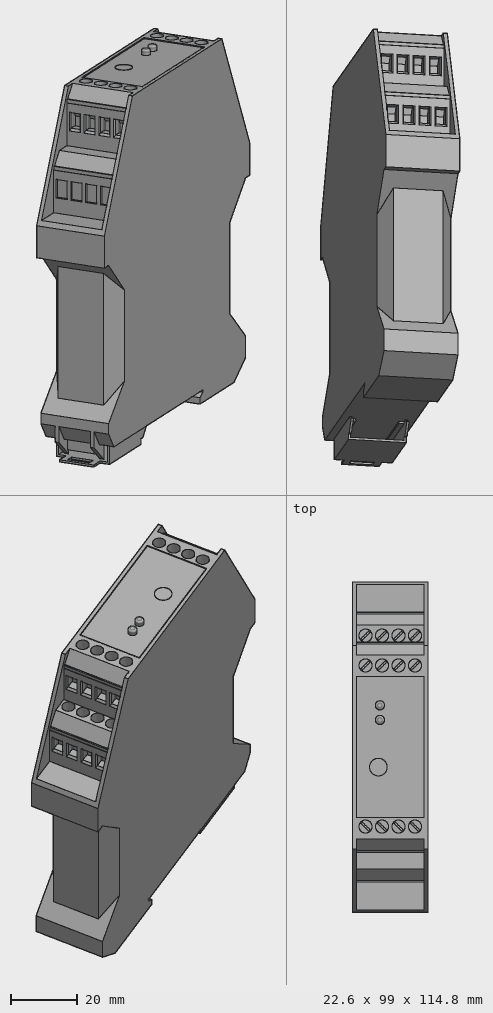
import cadquery as cq

overall_height = 114.8
body_width = 22.6
lamp_height = 1.4
top_z = overall_height - lamp_height

top_half = 30.4
collar_half = 49.5
ledge_half = 46.6
waist_half = 35.8
core_half = 42.4
collar_top_z = 74.9
collar_bottom_z = 64.8
waist_top_z = 53.9
waist_bottom_z = 25.1
base_top_z = 14.9
rail_z = 6.5
foot_bottom_z = 2.6
foot_side_z = 8.2
foot_bevel_y = 38.7
foot_tip_y = 15.5
foot_tip_z = 4.7
foot_root_y = 17.5
foot_root_z = 5.9

core_face_half_width = 7.6
core_low_z = 18.4
core_high_z = 60.9

wall = 1.3
bay_width = body_width - 2 * wall
step_drop = 18.5
step_run = 9.0
nose_start = 27.6
nose_run = 3.3
nose_drop = 3.9
band_height = 1.1
band_setback = 0.1
face_run = 3.9
face_half = nose_start + face_run

ways = 4
way_pitch = 4.9
way_offsets = [(i - (ways - 1) / 2) * way_pitch for i in range(ways)]
mouth_width = 3.7
mouth_height = 5.9
mouth_below_step = 10.8
funnel_width = 3.0
lead_in_depth = 0.6
funnel_depth = 2.4
throat_width = 2.6
throat_bottom = -2.2
throat_top = 0.9
mouth_depth = 3.1
blank_depth = 0.9
screw_radius = 2.0
screw_depth = 4.6
screw_slot_width = 0.6
screw_slot_depth = 0.7
screw_slot_angle = 45.0
front_screw_y = -23.8
back_screw_y = 24.5

panel_half = 21.1
panel_depth = 0.3
lamp_x = -3.1
lamp_radius = 1.4
lamp_rounding = 0.7
lamp_places = (8.2, 12.5)
button_x = -3.6
button_y = -6.0
button_radius = 2.6
button_depth = 0.1

clip_front = -41.0
clip_back = -19.4
clip_hook_low_y = -18.3
clip_hook_low_z = 1.7
clip_hook_tip_y = -15.2
clip_hook_tip_z = 5.5
clip_hook_root_y = -17.5
clip_hook_root_z = 6.1
clip_half_width = 8.8
clip_wall = 0.7
clip_lip = 2.3
rib_x = 5.9
rib_width = 1.3
bevel_top_z = 11.6
bevel_front = -43.1
rib_low_z = 1.7
rib_toe_z = 1.0
bridge_thickness = 0.9
tab_half_width = 5.7
tab_front = -45.4
tab_slot_half_width = 3.6
tab_slot_front = -44.0
tab_slot_length = 2.5


def side_prism(points, width, x_middle=0.0):
    """Extrude a Y-Z outline evenly about a plane of constant X."""
    plane = cq.Workplane("YZ", origin=(x_middle, 0, 0))
    return plane.polyline(points).close().extrude(width / 2, both=True)


def block(x_range, y_range, z_range):
    """Box given by its limits on each axis."""
    sizes = [high - low for low, high in (x_range, y_range, z_range)]
    corner = (x_range[0], y_range[0], z_range[0])
    return cq.Workplane("XY").box(*sizes, centered=False).translate(corner)


def make_housing():
    outline = [
        (-top_half, top_z),
        (top_half, top_z),
        (collar_half, collar_top_z),
        (collar_half, collar_bottom_z),
        (ledge_half, collar_bottom_z),
        (waist_half, waist_top_z),
        (waist_half, waist_bottom_z),
        (ledge_half, base_top_z),
        (ledge_half, foot_side_z),
        (foot_bevel_y, foot_bottom_z),
        (foot_tip_y, foot_bottom_z),
        (foot_tip_y, foot_tip_z),
        (foot_root_y, foot_root_z),
        (foot_root_y, rail_z),
        (bevel_front, rail_z),
        (-ledge_half, bevel_top_z),
        (-ledge_half, base_top_z),
        (-waist_half, waist_bottom_z),
        (-waist_half, waist_top_z),
        (-ledge_half, collar_bottom_z),
        (-collar_half, collar_bottom_z),
        (-collar_half, collar_top_z),
    ]
    return side_prism(outline, body_width)


def make_core():
    """Inner block with bevelled corners, showing in both waist recesses."""
    side_half = body_width / 2
    plan = [
        (core_face_half_width, core_half),
        (side_half, waist_half),
        (side_half, -waist_half),
        (core_face_half_width, -core_half),
        (-core_face_half_width, -core_half),
        (-side_half, -waist_half),
        (-side_half, waist_half),
        (-core_face_half_width, core_half),
    ]
    base = cq.Workplane("XY", origin=(0, 0, core_low_z))
    return base.polyline(plan).close().extrude(core_high_z - core_low_z)


def terminal_bay(side):
    """Stepped space in front of the two terminal rows; side is +1 or -1 along Y."""
    profile = []
    for row in range(2):
        y = nose_start + row * step_run
        z = top_z - row * step_drop
        profile += [
            (y, z),
            (y + nose_run, z - nose_drop),
            (y + face_run - band_setback, z - nose_drop),
            (y + face_run - band_setback, z - nose_drop - band_height),
            (y + face_run, z - nose_drop - band_height),
            (y + face_run, z - step_drop),
        ]
    floor_z = top_z - 2 * step_drop
    slope = (collar_half - top_half) / (top_z - collar_top_z)
    floor_end = top_half + slope * (top_z - floor_z)
    profile += [(floor_end, floor_z), (collar_half, floor_z), (collar_half, top_z)]
    return side_prism([(side * y, z) for y, z in profile], bay_width)


def wire_mouth(side, row, x):
    """Opening that narrows to a throat inside the terminal block."""
    y = side * (face_half + row * step_run)
    z = top_z - row * step_drop - mouth_below_step
    half_height = mouth_height / 2
    sections = [
        (0, mouth_width, -half_height, half_height),
        (lead_in_depth, funnel_width, throat_bottom, half_height),
        (funnel_depth, funnel_width, throat_bottom, half_height),
        (mouth_depth, throat_width, throat_bottom, throat_top),
    ]
    wires = []
    for depth, width, bottom, top in sections:
        corners = [(-width / 2, bottom), (width / 2, bottom), (width / 2, top), (-width / 2, top)]
        points = [cq.Vector(x + dx, y - side * depth, z + dz) for dx, dz in corners]
        wires.append(cq.Wire.makePolygon(points, close=True))
    return cq.Workplane("XY").add(cq.Solid.makeLoft(wires, True))


def blank_mouth(side, row, x):
    """Shallow rectangular opening of an unused terminal."""
    y = side * (face_half + row * step_run - blank_depth / 2)
    z = top_z - row * step_drop - mouth_below_step
    return cq.Workplane("XY").box(mouth_width, blank_depth, mouth_height).translate((x, y, z))


def screw_well(x, y, z, slot_angle):
    """Round well with a slotted screw head at its bottom."""
    well = cq.Workplane("XY").circle(screw_radius).extrude(-screw_depth)
    slot = (
        cq.Workplane("XY", origin=(0, 0, -screw_depth))
        .slot2D(2 * screw_radius, screw_slot_width, slot_angle)
        .extrude(-screw_slot_depth)
    )
    return well.union(slot).translate((x, y, z))


def make_lamp(y):
    floor_z = top_z - panel_depth
    lamp = cq.Workplane("XY").circle(lamp_radius).extrude(overall_height - floor_z)
    lamp = lamp.faces(">Z").edges().fillet(lamp_rounding)
    return lamp.translate((lamp_x, y, floor_z))


def make_clip():
    """Open channel with hooked side walls, front ribs, bridge and pull tab."""
    wall_outline = [
        (clip_front, 0),
        (clip_back, 0),
        (clip_back, clip_hook_low_z),
        (clip_hook_low_y, clip_hook_low_z),
        (clip_hook_tip_y, clip_hook_tip_z),
        (clip_hook_root_y, clip_hook_root_z),
        (clip_hook_root_y, rail_z),
        (clip_front, rail_z),
    ]
    rib_outline = [
        (-ledge_half, bevel_top_z),
        (-ledge_half, rail_z),
        (clip_front, rib_low_z),
        (clip_front + bridge_thickness, rib_toe_z),
        (clip_front + bridge_thickness, bevel_top_z),
    ]
    clip = block((-clip_half_width, clip_half_width), (clip_front, clip_back), (0, clip_wall))
    wall_x = clip_half_width - clip_wall / 2
    for side in (-1, 1):
        clip = clip.union(side_prism(wall_outline, clip_wall, side * wall_x))
        lip_x = sorted((side * clip_half_width, side * (clip_half_width - clip_lip)))
        clip = clip.union(block(lip_x, (clip_front, clip_back), (rail_z - clip_wall, rail_z)))
        clip = clip.union(side_prism(rib_outline, rib_width, side * rib_x))
    bridge_y = (clip_front, clip_front + bridge_thickness)
    clip = clip.union(block((-rib_x, rib_x), bridge_y, (foot_bottom_z, rail_z)))
    tab = block((-tab_half_width, tab_half_width), (tab_front, clip_front), (0, clip_wall))
    tab_slot_y = (tab_slot_front, tab_slot_front + tab_slot_length)
    tab_slot = block((-tab_slot_half_width, tab_slot_half_width), tab_slot_y, (0, clip_wall))
    return clip.union(tab.cut(tab_slot))


result = make_housing().union(make_core())

for side in (-1, 1):
    result = result.cut(terminal_bay(side))

screw_rows = [
    (-1, 0, front_screw_y),
    (1, 0, back_screw_y),
    (1, 1, back_screw_y + step_run),
]
for side, row, screw_y in screw_rows:
    row_z = top_z - row * step_drop
    for x in way_offsets:
        result = result.cut(wire_mouth(side, row, x))
        result = result.cut(screw_well(x, screw_y, row_z, side * screw_slot_angle))
for x in way_offsets:
    result = result.cut(blank_mouth(-1, 1, x))

result = result.cut(
    block((-bay_width / 2, bay_width / 2), (-panel_half, panel_half), (top_z - panel_depth, top_z))
)
button_top = (button_x, button_y, top_z - panel_depth)
result = result.cut(cq.Workplane("XY", origin=button_top).circle(button_radius).extrude(-button_depth))
for y in lamp_places:
    result = result.union(make_lamp(y))

result = result.union(make_clip())